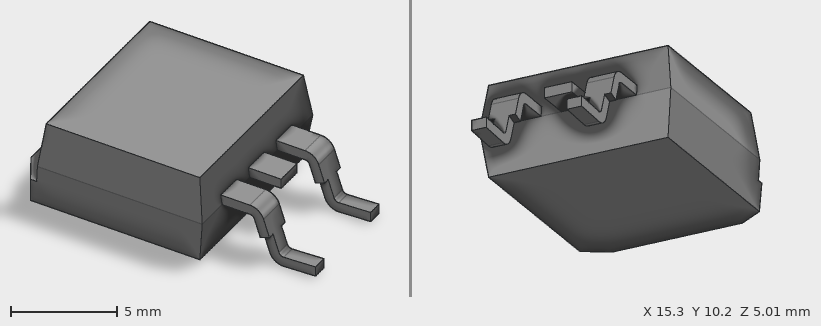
import cadquery as cq
import math

body_height = 4.78
parting_height = body_height / 2
body_width = 10.16
side_draft = 0.32
body_left = 1.33
body_right = 10.35
left_draft = 0.29

tab_height = 1.39
tab_edge_width = 6.9
tab_corner_angle = math.radians(60)

lead_thickness = 0.53
lead_pitch = 2.53
lead_width = 1.45
foot_width = 0.78
lead_top = parting_height + lead_thickness
lead_embedment = 1.53
lead_root = body_right - lead_embedment
middle_lead_end = 12.07
shoulder_x = 12.44
heel_x = 13.32
heel_z = 0.29
foot_end_x = 15.26
foot_end_z = 0.38
inner_radius = 0.26
outer_radius = inner_radius + lead_thickness
neck_x = 12.94


def make_body():
    half_width = body_width / 2
    half_end = half_width - side_draft
    cross_section = (
        cq.Workplane("YZ")
        .polyline([
            (-half_end, 0),
            (half_end, 0),
            (half_width, parting_height),
            (half_end, body_height),
            (-half_end, body_height),
            (-half_width, parting_height),
        ])
        .close()
        .extrude(body_right)
    )
    left_lean = left_draft / parting_height
    side_profile = (
        cq.Workplane("XZ")
        .polyline([
            (0, 0),
            (body_right - side_draft, 0),
            (body_right, parting_height),
            (body_right - side_draft, body_height),
            (body_left + left_draft, body_height),
            (body_left - left_lean * (parting_height - tab_height), tab_height),
            (0, tab_height),
        ])
        .close()
        .extrude(half_width, both=True)
    )
    half_edge = tab_edge_width / 2
    corner_length = (half_width - half_edge) / math.tan(tab_corner_angle)
    plan = (
        cq.Workplane("XY")
        .polyline([
            (0, -half_edge),
            (corner_length, -half_width),
            (body_right, -half_width),
            (body_right, half_width),
            (corner_length, half_width),
            (0, half_edge),
        ])
        .close()
        .extrude(body_height)
    )
    return cross_section.intersect(side_profile).intersect(plan)


def make_bent_strip(width):
    """Bent lead of constant width, centred on Y = 0."""
    drop = math.atan2(lead_top - heel_z, heel_x - shoulder_x)
    rise = math.atan2(foot_end_z - heel_z, foot_end_x - heel_x)
    shoulder_miter = lead_thickness * math.tan(drop / 2)
    heel_miter = lead_thickness * math.tan((drop + rise) / 2)
    shoulder_under = (shoulder_x - shoulder_miter, parting_height)
    heel_under = (
        heel_x + lead_thickness * math.sin(rise) - heel_miter * math.cos(rise),
        heel_z - lead_thickness * math.cos(rise) - heel_miter * math.sin(rise),
    )
    strip = (
        cq.Workplane("XZ")
        .polyline([
            (lead_root, lead_top),
            (shoulder_x, lead_top),
            (heel_x, heel_z),
            (foot_end_x, foot_end_z),
            (foot_end_x, foot_end_z - lead_thickness / math.cos(rise)),
            heel_under,
            shoulder_under,
            (lead_root, parting_height),
        ])
        .close()
        .extrude(width / 2, both=True)
    )

    def bend_edge(point):
        return cq.selectors.NearestToPointSelector((point[0], 0, point[1]))

    for corner, radius in (
        ((shoulder_x, lead_top), outer_radius),
        (shoulder_under, inner_radius),
        ((heel_x, heel_z), inner_radius),
        (heel_under, outer_radius),
    ):
        strip = strip.edges("|Y").edges(bend_edge(corner)).fillet(radius)
    return strip


def make_outer_lead():
    """Wide lead that narrows, square to its sloping leg, into the foot."""
    slope_x = heel_x - shoulder_x
    slope_z = heel_z - lead_top
    neck_z = lead_top + slope_z * (neck_x - shoulder_x) / slope_x
    neck_plane = cq.Plane(
        origin=(neck_x, 0, neck_z),
        xDir=(0, 1, 0),
        normal=(-slope_x, 0, -slope_z),
    )
    above_neck = cq.Workplane(neck_plane).rect(foot_end_x, foot_end_x).extrude(foot_end_x)
    wide_part = make_bent_strip(lead_width).intersect(above_neck)
    return wide_part.union(make_bent_strip(foot_width))


def make_middle_lead():
    return cq.Workplane("XY").box(
        middle_lead_end - lead_root, lead_width, lead_thickness, centered=(False, True, False)
    ).translate((lead_root, 0, parting_height))


result = make_body().union(make_middle_lead())
outer_lead = make_outer_lead()
for side in (-1, 1):
    result = result.union(outer_lead.translate((0, side * lead_pitch, 0)))